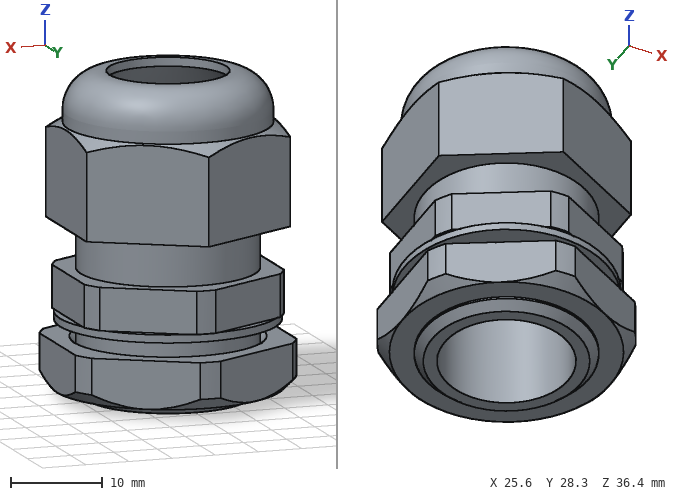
import cadquery as cq
import math


thread_radius = 20.2 / 2
hex_half_angle = 30

locknut_across_flats = 25.6
locknut_corner_radius = 28.29 / 2
locknut_bottom = 1.25
locknut_height = 5.45
locknut_top = locknut_bottom + locknut_height
locknut_hole_chamfer = 0.7

washer_radius = 25 / 2
washer_thickness = 0.9

body_across_flats = 23.1
body_corner_radius = 25.5 / 2
body_hex_bottom = 9.55
body_hex_height = 4.85
body_bore_radius = 15.2 / 2
body_foot_chamfer = 1.0
body_rim_width = 1.0
body_top = 32.35

cap_across_flats = 23.6
cap_cylinder_radius = 23.1 / 2
cap_bottom = 19.5
cap_top = 36.4
cap_shoulder = 30.7
cap_cone_angle = 30
cap_hole_radius = 13.5 / 2
cap_lip_height = 1.0
dome_radius = 4.3


def hex_prism(across_flats, bottom, height):
    """Hexagonal prism along Z with its corners pointing along Y."""
    corner_diameter = across_flats / math.cos(math.radians(hex_half_angle))
    prism = cq.Workplane("XY").workplane(offset=bottom).polygon(6, corner_diameter).extrude(height)
    return prism.rotate((0, 0, 0), (0, 0, 1), hex_half_angle)


def cylinder(radius, bottom, height):
    """Upright cylinder centred on the Z axis."""
    return cq.Workplane("XY").workplane(offset=bottom).circle(radius).extrude(height)


def revolved(half_profile):
    """Close a (radius, Z) profile and turn it about the Z axis."""
    return half_profile.close().revolve(360, (0, 0, 0), (0, 1, 0))


def make_locknut():
    """Hexagon with turned corners, a 45 degree bottom chamfer and a countersunk thread hole."""
    chamfer = locknut_corner_radius - locknut_across_flats / 2
    turned_blank = cylinder(locknut_corner_radius, locknut_bottom, locknut_height)
    turned_blank = turned_blank.faces("<Z").chamfer(chamfer)
    nut = hex_prism(locknut_across_flats, locknut_bottom, locknut_height).intersect(turned_blank)
    thread_hole = cylinder(thread_radius, locknut_bottom, locknut_height)
    mouth_radius = thread_radius + locknut_hole_chamfer
    lead_in = revolved(
        cq.Workplane("XZ")
        .moveTo(0, locknut_top - locknut_hole_chamfer)
        .lineTo(thread_radius, locknut_top - locknut_hole_chamfer)
        .lineTo(mouth_radius, locknut_top)
        .lineTo(0, locknut_top)
    )
    return nut.cut(thread_hole).cut(lead_in)


def make_washer():
    """Flat ring seated under the hexagon of the body."""
    bottom = body_hex_bottom - washer_thickness
    ring = cylinder(washer_radius, bottom, washer_thickness)
    return ring.cut(cylinder(thread_radius, bottom, washer_thickness))


def make_body():
    """Threaded tube chamfered at both ends, with a hexagon that has turned corners."""
    rim_chamfer = thread_radius - body_bore_radius - body_rim_width
    tube = cylinder(thread_radius, 0, body_top)
    tube = tube.faces("<Z").chamfer(body_foot_chamfer)
    tube = tube.faces(">Z").chamfer(rim_chamfer)
    turned_blank = cylinder(body_corner_radius, body_hex_bottom, body_hex_height)
    collar = hex_prism(body_across_flats, body_hex_bottom, body_hex_height).intersect(turned_blank)
    return tube.union(collar).cut(cylinder(body_bore_radius, 0, body_top))


def make_cap():
    """Hexagonal cap with a domed top, threaded over the body and open through a thin lip."""
    blank_radius = cap_across_flats
    cone_drop = (blank_radius - cap_cylinder_radius) * math.tan(math.radians(cap_cone_angle))
    coned_blank = revolved(
        cq.Workplane("XZ")
        .moveTo(0, cap_bottom)
        .lineTo(blank_radius, cap_bottom)
        .lineTo(blank_radius, cap_shoulder - cone_drop)
        .lineTo(cap_cylinder_radius, cap_shoulder)
        .lineTo(0, cap_shoulder)
    )
    hexagon = hex_prism(cap_across_flats, cap_bottom, cap_shoulder - cap_bottom).intersect(coned_blank)

    dome = cylinder(cap_cylinder_radius, cap_bottom, cap_top - cap_bottom)
    dome = dome.faces(">Z").edges().fillet(dome_radius)

    ceiling = cap_top - cap_lip_height
    inner_cone = thread_radius - cap_hole_radius
    hollow = cylinder(thread_radius, cap_bottom, ceiling - cap_bottom)
    hollow = hollow.faces(">Z").chamfer(inner_cone)

    cap = hexagon.union(dome).cut(hollow)
    return cap.cut(cylinder(cap_hole_radius, cap_bottom, cap_top - cap_bottom))


locknut = make_locknut()
washer = make_washer()
body = make_body()
cap = make_cap()

result = cq.Compound.makeCompound([locknut.val(), washer.val(), body.val(), cap.val()])